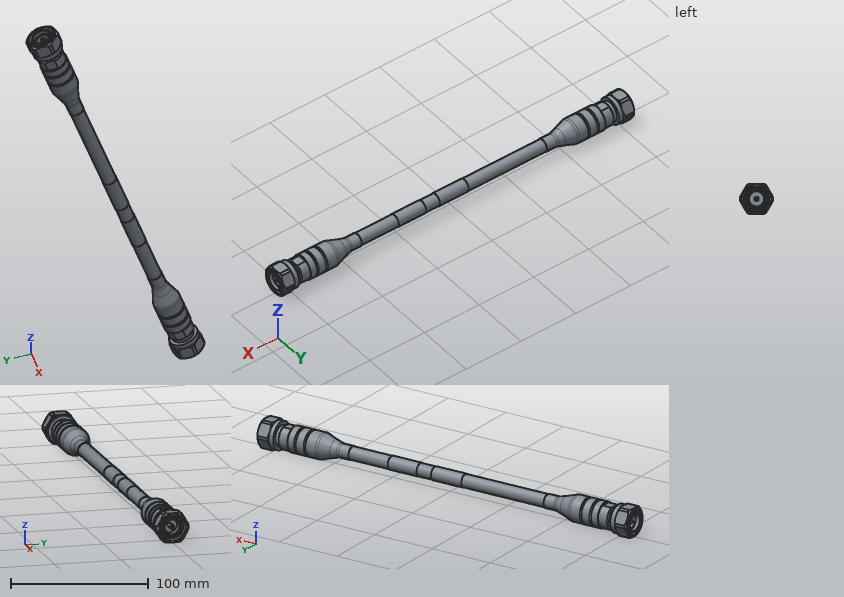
import cadquery as cq
import math

LENGTH = 320.5
END = LENGTH / 2

NUT_FLATS = 22.0
NUT_CORNERS = 24.5
NUT_FACE_RADIUS = 10.5
NUT_HEX_LENGTH = 10.3
NUT_LENGTH = 14.0
NUT_FRONT_CHAMFER = 1.3
NUT_REAR_CHAMFER = 1.0
NUT_BORE_RADIUS = 8.0
NUT_BORE_DEPTH = 11.0
NUT_MOUTH_CHAMFER = 1.3

MOUTH_RADIUS = 6.5
MOUTH_DEPTH = 3.2
SOCKET_RADIUS = 5.5
SOCKET_DEPTH = 9.5
TUBE_RADIUS = 7.5
PIN_RADIUS = 1.5
PIN_TIP_RADIUS = 0.5
PIN_TIP_LENGTH = 1.0
PIN_RECESS = 2.0
NECK_RADIUS = 8.3
BARREL_RADIUS = 9.5
BARREL_START = 18.0
BARREL_CHAMFER = 1.0
WRENCH_FLATS = 17.5
SPIGOT_RADIUS = 8.5
SPIGOT_END = 41.7
RIB_RADIUS = 10.0
RIB_WIDTH = 1.5
RIB_STARTS = (31.5, 39.7)

BOOT_START = 25.5
BOOT_RADIUS = 10.3
BOOT_ROUNDING_DROP = 0.3
SHOULDER_START = 49.7
TAPER_START = 51.5
TAPER_MIDDLE = 60.3
TAPER_MIDDLE_RADIUS = 7.0
TAPER_END = 65.0
TAIL_START = 67.0
TAIL_RADIUS = 5.5
BOOT_END = 75.5

CABLE_RADIUS = 5.0
LABEL_THICKNESS = 0.22
LABEL_BANDS = ((-13.0, 13.0), (25.5, 50.5))


def revolve(profile):
    """Close an XY profile and turn it about the X axis."""
    return profile.close().revolve(360, (0, 0, 0), (1, 0, 0))


def turned(points):
    """Solid of revolution from (distance along X, radius) points."""
    return revolve(cq.Workplane("XY").polyline(points))


def disc(start, length, radius):
    """Cylinder along X that begins at X = start."""
    return cq.Workplane("YZ").workplane(offset=start).circle(radius).extrude(length)


def make_nut():
    """Hexagon with corners toward +Y and -Y, a round collar and a stepped bore."""
    flat_radius = NUT_FLATS / 2
    corner_radius = NUT_CORNERS / 2
    hexagon = cq.Workplane("YZ").polygon(6, NUT_FLATS / math.cos(math.pi / 6)).extrude(NUT_HEX_LENGTH)
    corner_rounding = turned(
        [
            (0, 0),
            (0, NUT_FACE_RADIUS),
            (NUT_FRONT_CHAMFER, corner_radius),
            (NUT_HEX_LENGTH - NUT_REAR_CHAMFER, corner_radius),
            (NUT_HEX_LENGTH, flat_radius),
            (NUT_HEX_LENGTH, 0),
        ]
    )
    collar = disc(NUT_HEX_LENGTH, NUT_LENGTH - NUT_HEX_LENGTH, flat_radius)
    bore = turned(
        [
            (0, 0),
            (0, NUT_BORE_RADIUS + NUT_MOUTH_CHAMFER),
            (NUT_MOUTH_CHAMFER, NUT_BORE_RADIUS),
            (NUT_BORE_DEPTH, NUT_BORE_RADIUS),
            (NUT_BORE_DEPTH, NECK_RADIUS),
            (NUT_LENGTH, NECK_RADIUS),
            (NUT_LENGTH, 0),
        ]
    )
    return hexagon.intersect(corner_rounding).union(collar).cut(bore)


def make_socket():
    """Stepped round cavity that leaves the pointed contact pin in its middle."""
    cavity = turned(
        [
            (0, 0),
            (0, MOUTH_RADIUS),
            (MOUTH_DEPTH, MOUTH_RADIUS),
            (MOUTH_DEPTH, SOCKET_RADIUS),
            (SOCKET_DEPTH, SOCKET_RADIUS),
            (SOCKET_DEPTH, 0),
        ]
    )
    pin = turned(
        [
            (PIN_RECESS, 0),
            (PIN_RECESS, PIN_TIP_RADIUS),
            (PIN_RECESS + PIN_TIP_LENGTH, PIN_RADIUS),
            (SOCKET_DEPTH, PIN_RADIUS),
            (SOCKET_DEPTH, 0),
        ]
    )
    return cavity.cut(pin)


def make_connector():
    """Socket tube, neck, barrel with two wrench flats, and a ribbed spigot inside the boot."""
    front = turned(
        [
            (0, 0),
            (0, TUBE_RADIUS),
            (NUT_BORE_DEPTH, TUBE_RADIUS),
            (NUT_BORE_DEPTH, NECK_RADIUS),
            (BARREL_START - BARREL_CHAMFER, NECK_RADIUS),
            (BARREL_START, BARREL_RADIUS),
            (BOOT_START, BARREL_RADIUS),
            (BOOT_START, 0),
        ]
    )
    wrench_slab = cq.Workplane("XY").box(2 * BOOT_START, NUT_CORNERS, WRENCH_FLATS)
    spigot = disc(BOOT_START, SPIGOT_END - BOOT_START, SPIGOT_RADIUS)
    body = front.intersect(wrench_slab).union(spigot)
    for start in RIB_STARTS:
        body = body.union(disc(start, RIB_WIDTH, RIB_RADIUS))
    return body.cut(make_socket())


def make_boot(connector):
    """Tapered sleeve moulded around the connector spigot and the cable."""
    profile = (
        cq.Workplane("XY")
        .moveTo(BOOT_START, 0)
        .lineTo(BOOT_START, BOOT_RADIUS)
        .lineTo(SHOULDER_START, BOOT_RADIUS)
        .tangentArcPoint((TAPER_START, BOOT_RADIUS - BOOT_ROUNDING_DROP), relative=False)
        .lineTo(TAPER_MIDDLE, TAPER_MIDDLE_RADIUS)
        .lineTo(TAPER_END, TAIL_RADIUS + BOOT_ROUNDING_DROP)
        .tangentArcPoint((TAIL_START, TAIL_RADIUS), relative=False)
        .lineTo(BOOT_END, TAIL_RADIUS)
        .lineTo(BOOT_END, 0)
    )
    cable_hole = disc(SPIGOT_END, BOOT_END - SPIGOT_END, CABLE_RADIUS)
    return revolve(profile).cut(connector).cut(cable_hole)


def make_cable():
    """Round cable between the two spigots, with its label bands."""
    half_length = END - SPIGOT_END
    cable = disc(-half_length, 2 * half_length, CABLE_RADIUS)
    for start, end in LABEL_BANDS:
        cable = cable.union(disc(start, end - start, CABLE_RADIUS + LABEL_THICKNESS))
    return cable


nut = make_nut()
connector = make_connector()
boot = make_boot(connector)
cable = make_cable()

bodies = [cable.solids().val()]
for part in (nut, connector, boot):
    left_part = part.translate((-END, 0, 0))
    right_part = left_part.mirror("YZ")
    bodies += [left_part.solids().val(), right_part.solids().val()]

result = cq.Compound.makeCompound(bodies)